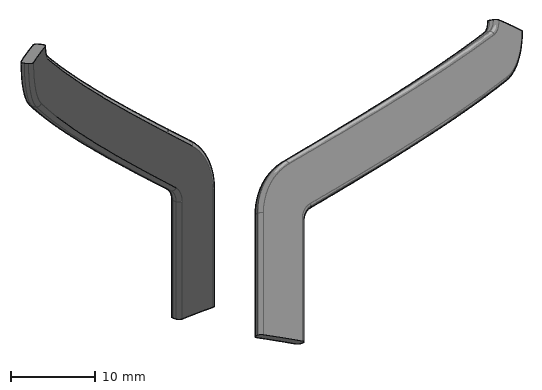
import cadquery as cq
import math

outer_radius = 76.0
thickness = 1.53
inner_radius = outer_radius - thickness
height = 46.25
edge_fillet = 0.5

axis_x = 65.35
axis_y = 30.7
leg_edge_angle = math.radians(8.1)

blade_width = 6.4
leg_height = 15.05
tip_start = 38.85
tip_end = tip_start + blade_width
inner_bend_radius = 2.0
outer_bend_radius = inner_bend_radius + blade_width

lower_center = (blade_width + inner_bend_radius, leg_height)
upper_center = (tip_start - inner_bend_radius, height)
center_run = upper_center[0] - lower_center[0]
center_rise = upper_center[1] - lower_center[1]
center_distance = math.hypot(center_run, center_rise)
arm_angle = math.atan2(center_rise, center_run) - math.asin(
    (inner_bend_radius + outer_bend_radius) / center_distance
)
bend_start = math.pi
bend_end = math.pi / 2 + arm_angle

cutter_angle = leg_edge_angle + tip_end / 2 / outer_radius
near_distance = inner_radius * 0.8
far_distance = outer_radius * 1.1
curve_steps = 8


def line_points(start, end):
    """Evenly spaced points along a straight edge of the flattened blade."""
    fractions = [step / curve_steps for step in range(curve_steps + 1)]
    return [tuple(a + (b - a) * t for a, b in zip(start, end)) for t in fractions]


def arc_points(center, radius, start, end):
    """Evenly spaced points along an arc of the flattened blade."""
    angles = [start + (end - start) * step / curve_steps for step in range(curve_steps + 1)]
    return [(center[0] + radius * math.cos(a), center[1] + radius * math.sin(a)) for a in angles]


def blade_outline(distance):
    """Project the flattened outline radially onto a plane at this distance from the axis."""

    def project(point):
        angle = leg_edge_angle + point[0] / outer_radius - cutter_angle
        across = distance * math.tan(angle)
        x = axis_x - distance * math.cos(cutter_angle) + across * math.sin(cutter_angle)
        y = axis_y - distance * math.sin(cutter_angle) - across * math.cos(cutter_angle)
        return cq.Vector(x, y, point[1])

    def straight(start, end):
        return cq.Edge.makeLine(project(start), project(end))

    def curved(points):
        return cq.Edge.makeSpline([project(p) for p in points])

    def lower_bend(radius):
        return arc_points(lower_center, radius, bend_start, bend_end)

    def upper_bend(radius):
        return arc_points(upper_center, radius, bend_end - math.pi, bend_start - math.pi)

    lower_outer = lower_bend(outer_bend_radius)
    lower_inner = lower_bend(inner_bend_radius)
    upper_outer = upper_bend(outer_bend_radius)
    upper_inner = upper_bend(inner_bend_radius)
    leg_free_corner = (0, 0)
    leg_inner_corner = (blade_width, 0)

    return cq.Wire.assembleEdges([
        straight(leg_free_corner, lower_outer[0]),
        curved(lower_outer),
        curved(line_points(lower_outer[-1], upper_inner[0])),
        curved(upper_inner),
        straight(upper_inner[-1], upper_outer[-1]),
        curved(upper_outer[::-1]),
        curved(line_points(upper_outer[0], lower_inner[-1])),
        curved(lower_inner[::-1]),
        straight(lower_inner[0], leg_inner_corner),
        straight(leg_inner_corner, leg_free_corner),
    ])


cutter = cq.Solid.makeLoft([blade_outline(near_distance), blade_outline(far_distance)], True)
shell = (
    cq.Workplane("XY")
    .center(axis_x, axis_y)
    .circle(outer_radius)
    .circle(inner_radius)
    .extrude(height)
)
blade = shell.intersect(cq.Workplane(obj=cutter))

long_edges = blade.faces("%CYLINDER").edges("not(<Z or >Z)")
result = long_edges.fillet(edge_fillet)